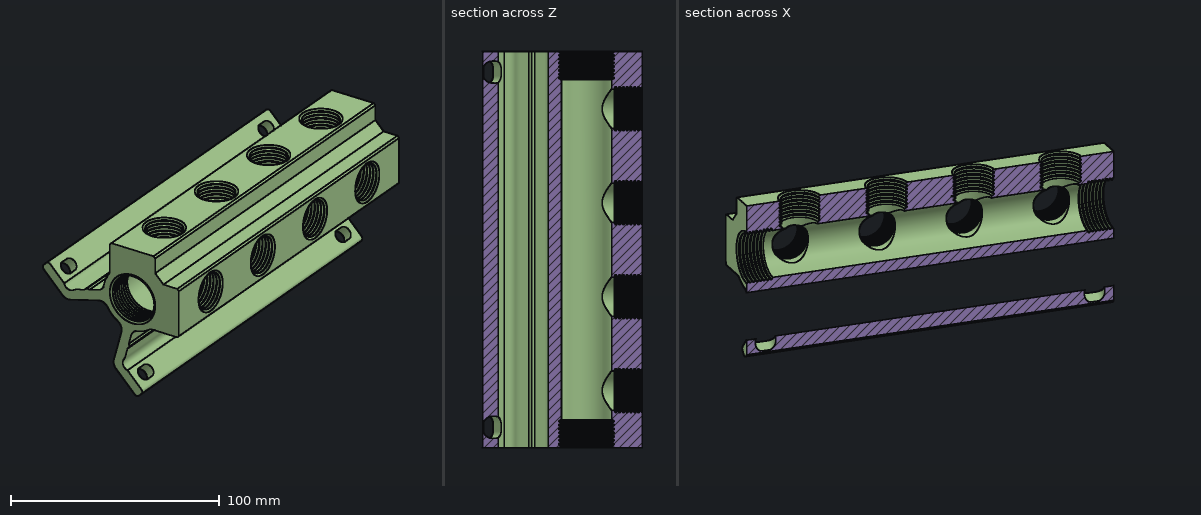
import cadquery as cq
import math

length = 190.0

head_reach = 26.8
head_half_width = 13.1
head_chamfer = 1.0
notch_depth = 17.9
wall_radius = 16.7
head_wall_fillet = 3.0

plate_thickness = 5.5
arm_angle = 15.0
lip_angle = 135.0
arm_offset = 4.4
lip_offset = 29.8
lip_reach = 51.7
lip_end_fillet = 1.9
elbow_fillet = 4.8
upper_root_fillet = 4.8
lower_root_fillet = 4.8

relief_radius = 3.5
relief_overcut = 0.5
relief_blend = 5.7

ridge_from_corner = 9.5
ridge_width = 3.0
ridge_height = 0.66
ridge_peak = 1.7

slot_length = 10.5
slot_width = 6.6
slot_from_end = 9.9
slot_from_corner = 9.1

thread_pitch = 1.82
thread_flat = 0.32
bore_diameter = 24.0
bore_thread_diameter = 26.2
bore_thread_turns = 8
port_diameter = 18.6
port_thread_diameter = 20.9
port_thread_turns = 8
port_count = 4
port_spacing = 45.0

mirror_normal = (1, 0, -1)
diagonal = math.sqrt(0.5)


def direction(angle):
    """Unit direction in the XZ plane at an angle in degrees from X towards Z."""
    return (math.cos(math.radians(angle)), math.sin(math.radians(angle)))


arm_in = direction(arm_angle)
arm_up = direction(arm_angle + 90)
lip_out = direction(lip_angle)
lip_in = direction(lip_angle - 90)


def shift(point, direction, distance):
    """Point moved by a distance along a unit direction."""
    return (point[0] + direction[0] * distance, point[1] + direction[1] * distance)


def crossing(direction_a, offset_a, direction_b, offset_b):
    """Crossing of two lines, each given by its unit normal and distance from the bore centre."""
    det = direction_a[0] * direction_b[1] - direction_a[1] * direction_b[0]
    x = (offset_a * direction_b[1] - offset_b * direction_a[1]) / det
    z = (direction_a[0] * offset_b - direction_b[0] * offset_a) / det
    return (x, z)


inner_corner = crossing(arm_up, arm_offset, lip_in, -lip_offset)
outer_corner = crossing(arm_up, arm_offset - plate_thickness, lip_in, -lip_offset - plate_thickness)

end_fillet_x = lip_end_fillet - lip_reach
end_fillet_z = (lip_end_fillet - lip_offset - plate_thickness) / diagonal - end_fillet_x
lip_end = (end_fillet_z - end_fillet_x) * diagonal + lip_end_fillet
lip_end_inner = crossing(lip_in, -lip_offset, lip_out, lip_end)
lip_end_outer = crossing(lip_in, -lip_offset - plate_thickness, lip_out, lip_end)


def root_fillet(face_offset, radius):
    """Ends, on the round wall and on an arm face, of the concave fillet between them."""
    side = math.copysign(1, face_offset)
    centre_height = face_offset + side * radius
    centre_along = -math.sqrt((wall_radius + radius) ** 2 - centre_height**2)
    centre = shift(shift((0, 0), arm_up, centre_height), arm_in, centre_along)
    touch = wall_radius / (wall_radius + radius)
    return (centre[0] * touch, centre[1] * touch), shift(centre, arm_up, -side * radius)


def draw_head(outline):
    """From the middle of the notch around the upper head and the round wall to the arm."""
    wall_fillet_x = head_half_width + head_wall_fillet
    wall_fillet_z = math.sqrt((wall_radius + head_wall_fillet) ** 2 - wall_fillet_x**2)
    touch = wall_radius / (wall_radius + head_wall_fillet)
    wall_start = (-wall_fillet_x * touch, wall_fillet_z * touch)
    wall_end, arm_start = root_fillet(arm_offset, upper_root_fillet)
    return (
        outline.lineTo(head_half_width, notch_depth)
        .lineTo(head_half_width, head_reach - head_chamfer)
        .lineTo(head_half_width - head_chamfer, head_reach)
        .lineTo(head_chamfer - head_half_width, head_reach)
        .lineTo(-head_half_width, head_reach - head_chamfer)
        .lineTo(-head_half_width, wall_fillet_z)
        .radiusArc(wall_start, head_wall_fillet)
        .radiusArc(wall_end, -wall_radius)
        .radiusArc(arm_start, upper_root_fillet)
    )


def draw_arm_top(outline):
    """Upper face of the arm with its ridge, then the relief up to the lip."""
    ridge_start = shift(inner_corner, arm_in, ridge_from_corner)
    face_distance = relief_radius - relief_overcut
    half_angle = math.radians(lip_angle - arm_angle) / 2
    centre_along = face_distance / math.tan(half_angle)
    relief_centre = shift(shift(inner_corner, arm_up, face_distance), arm_in, centre_along)
    half_chord = math.sqrt(relief_radius**2 - face_distance**2)
    relief_end = shift(inner_corner, lip_out, centre_along + half_chord)
    centre_gap = relief_radius + relief_blend
    blend_run = math.sqrt(centre_gap**2 - (face_distance + relief_blend) ** 2)
    blend_start = shift(inner_corner, arm_in, centre_along + blend_run)
    relief_share = relief_radius / centre_gap
    blend_end = shift(relief_centre, arm_in, blend_run * relief_share)
    blend_end = shift(blend_end, arm_up, -(face_distance + relief_blend) * relief_share)
    return (
        outline.lineTo(*shift(ridge_start, arm_in, ridge_width))
        .lineTo(*shift(shift(ridge_start, arm_in, ridge_peak), arm_up, ridge_height))
        .lineTo(*ridge_start)
        .lineTo(*blend_start)
        .radiusArc(blend_end, -relief_blend)
        .radiusArc(relief_end, relief_radius)
    )


def half_profile():
    """Extrusion of the half of the profile above the symmetry plane."""
    notch_middle = (head_half_width + notch_depth) / 2
    wall_middle = -wall_radius * diagonal
    lower_offset = arm_offset - plate_thickness
    lower_wall_start, arm_end = root_fillet(lower_offset, lower_root_fillet)
    outline = cq.Workplane("XZ").moveTo(notch_middle, notch_middle)
    outline = draw_arm_top(draw_head(outline))
    body = (
        outline.lineTo(*lip_end_inner)
        .lineTo(*lip_end_outer)
        .lineTo(*outer_corner)
        .lineTo(*arm_end)
        .radiusArc(lower_wall_start, lower_root_fillet)
        .radiusArc((wall_middle, wall_middle), -wall_radius)
        .close()
        .extrude(length / 2, both=True)
    )
    rounded_corners = (
        (lip_end_inner, lip_end_fillet),
        (lip_end_outer, lip_end_fillet),
        (outer_corner, elbow_fillet),
    )
    for (x, z), radius in rounded_corners:
        edge = cq.selectors.NearestToPointSelector((x, 0, z))
        body = body.edges("|Y").edges(edge).fillet(radius)
    return body


def lip_slots():
    """Cutters for the slots near both ends of the upper lip."""
    middle = shift(inner_corner, lip_out, slot_from_corner)
    across = cq.Plane((middle[0], 0, middle[1]), xDir=(0, 1, 0), normal=(lip_in[0], 0, lip_in[1]))
    spread = length / 2 - slot_from_end
    return (
        cq.Workplane(across)
        .pushPoints([(-spread, 0), (spread, 0)])
        .slot2D(slot_length, slot_width)
        .extrude(plate_thickness * 2, both=True)
    )


def thread_cutter(minor_diameter, major_diameter, turns):
    """Ringed thread around +Y, going in from the origin and widest at the mouth."""
    minor = minor_diameter / 2
    major = major_diameter / 2
    half_pitch = thread_pitch / 2
    half_flat = thread_flat / 2
    outline = cq.Workplane("XY").lineTo(major, 0)
    for turn in range(turns):
        root = turn * thread_pitch
        crest = root + half_pitch
        if turn > 0:
            outline = outline.lineTo(minor, root - half_pitch + half_flat)
            outline = outline.lineTo(major, root - half_flat)
        outline = outline.lineTo(major, root + half_flat)
        outline = outline.lineTo(minor, crest - half_flat)
    return outline.lineTo(0, crest - half_flat).close().revolve(360, (0, 0), (0, 1))


def main_bore():
    """Cutter for the bore with a thread at both ends."""
    thread = thread_cutter(bore_diameter, bore_thread_diameter, bore_thread_turns)
    front_thread = thread.translate((0, -length / 2, 0))
    plain_bore = cq.Workplane("XZ").circle(bore_diameter / 2).extrude(length / 2, both=True)
    return plain_bore.union(front_thread).union(front_thread.mirror("XZ"))


def top_ports():
    """Cutters for the row of threaded ports from the upper head down to the bore."""
    thread = thread_cutter(port_diameter, port_thread_diameter, port_thread_turns)
    plain_hole = cq.Workplane("XZ").circle(port_diameter / 2).extrude(-head_reach)
    port = plain_hole.union(thread).rotate((0, 0, 0), (1, 0, 0), -90).translate((0, 0, head_reach))
    first = -port_spacing * (port_count - 1) / 2
    ports = port.translate((0, first, 0))
    for number in range(1, port_count):
        ports = ports.union(port.translate((0, first + number * port_spacing, 0)))
    return ports


def both_sides(shape):
    """The shape joined with its mirror image across the symmetry plane."""
    return shape.union(shape.mirror(mirror_normal))


body = both_sides(half_profile().cut(lip_slots())).clean()
result = body.cut(main_bore()).cut(both_sides(top_ports()))